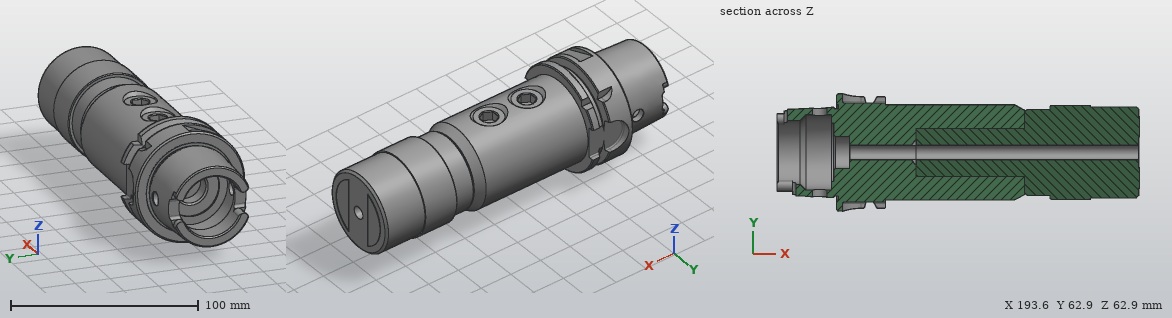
import cadquery as cq
import math


TAPER_TIP_R = 22.8
TAPER_BASE_R = 24.2
TAPER_END_X = 30.2
TIP_CHAMFER = 0.8
RELIEF_R = 23.5
RELIEF_START_X = 30.8
FACE_RECESS_R = 25.4
FACE_RECESS_DEPTH = 1.0
CLAMP_BORE_D = 34.0
CLAMP_BORE_END_X = 12.4
CLAMP_GROOVE_D = 40.0
CLAMP_GROOVE_START_X = 15.5
CLAMP_GROOVE_END_X = 29.0
FLOOR_RECESS_D = 31.0
FLOOR_RECESS_END_X = 30.2
COOLANT_POCKET_D = 17.0
COOLANT_POCKET_CHAMFER = 1.0
COOLANT_POCKET_END_X = 38.7
COOLANT_HOLE_D = 7.5
COOLANT_HOLE_CHAMFER = 0.4

WALL_MID_R = (TAPER_TIP_R + CLAMP_BORE_D / 2) / 2
WALL_END_R = (TAPER_TIP_R - CLAMP_BORE_D / 2) / 2
TIP_SLOT_WIDTH = 12.0
FRONT_TIP_SLOT_DEPTH = 10.0
BACK_TIP_SLOT_DEPTH = 5.6
TIP_SLOT_CORNER_R = 1.7

CROSS_HOLE_D = 7.5
CROSS_HOLE_CHAMFER = 0.4
CROSS_HOLE_X = 22.8

FLANGE_R = 31.46
FLANGE_FACE_X = 31.8
FLANGE_END_X = 58.0
FLANGE_CHAMFER = 1.0
FLANGE_END_CHAMFER = 0.5
GROOVE_R = 27.5
GROOVE_STEP_X = 48.0
GROOVE_STEP_R = 26.7
GROOVE_START_X = 46.3
GROOVE_EDGE_CHAMFER = 0.5
GROOVE_FLOOR_START_X = 49.0
GROOVE_FLOOR_END_X = 51.1
GROOVE_END_X = 53.5

KEYWAY_WIDTH = 19.7
KEYWAY_CENTER_X = 45.0
KEYWAY_FLOOR_Y = 26.5
KEYWAY_FLOOR_FILLET = 0.8
KEYWAY_OVERRUN = 2.0
NOTCH_WIDTH = 15.9
NOTCH_FLOOR_Y = 20.0
NOTCH_CENTER_Z = 28.0

FLAT_START_X = 35.0
FLAT_LENGTH = 8.3
FLAT_TILT = 21.5
FLAT_WIDTH = 23.0

BODY_R = 25.5
NOSE_START_X = 126.8
NOSE_END_X = 132.5
NOSE_END_R = 22.5

SHANK_D = 25.4
SHANK_LENGTH = 58.0
SHOULDER_CHAMFER = 1.2
NECK_R = 23.0
COLLAR_R = 25.2
COLLAR_START_X = 145.8
COLLAR_END_X = 167.3
COLLAR_CHAMFER = 0.5
HEAD_R = 24.4
HEAD_END_X = 193.2
HEAD_CHAMFER = 1.4
OVERALL_LENGTH = 193.6
LUG_CIRCLE_R = 19.2
LUG_GAP = 16.3

SCREW_D = 17.0
SCREW_TOP_Z = 23.5
SCREW_X = (79.5, 105.1)
SOCKET_D = 10.5
SOCKET_DEPTH = 5.8
SOCKET_TURN = 30
SOCKET_MOUTH_D = 10.6
SOCKET_CHAMFER = 0.5

SHANK_BACK_X = NOSE_END_X - SHANK_LENGTH


def x_cylinder(radius, start_x, end_x):
    """Cylinder about the X axis."""
    return cq.Workplane("YZ", origin=(start_x, 0, 0)).circle(radius).extrude(end_x - start_x)


def revolved(points):
    """Solid of revolution about X from (x, radius) points."""
    return cq.Workplane("XY").polyline(points).close().revolve(360, (0, 0, 0), (1, 0, 0))


def revolve_about_y(points, side):
    """Solid of revolution about Y from (radius, y) points, on one side of the X axis."""
    profile = [(radius, side * y) for radius, y in points]
    return cq.Workplane("XY").polyline(profile).close().revolve(360, (0, 0, 0), (0, 1, 0))


def holder_blank():
    """Outer shape of the holder: hollow taper, grooved flange, body and nose."""
    rim = FLANGE_R - FLANGE_CHAMFER
    return revolved([
        (0, 0),
        (0, TAPER_TIP_R - TIP_CHAMFER),
        (TIP_CHAMFER, TAPER_TIP_R),
        (TAPER_END_X, TAPER_BASE_R),
        (RELIEF_START_X, RELIEF_R),
        (FLANGE_FACE_X + FACE_RECESS_DEPTH, RELIEF_R),
        (FLANGE_FACE_X + FACE_RECESS_DEPTH, FACE_RECESS_R),
        (FLANGE_FACE_X, FACE_RECESS_R),
        (FLANGE_FACE_X, rim),
        (FLANGE_FACE_X + FLANGE_CHAMFER, FLANGE_R),
        (GROOVE_START_X, FLANGE_R),
        (GROOVE_START_X + GROOVE_EDGE_CHAMFER, FLANGE_R - GROOVE_EDGE_CHAMFER),
        (GROOVE_STEP_X, GROOVE_STEP_R),
        (GROOVE_FLOOR_START_X, GROOVE_R),
        (GROOVE_FLOOR_END_X, GROOVE_R),
        (GROOVE_END_X, FLANGE_R),
        (FLANGE_END_X - FLANGE_END_CHAMFER, FLANGE_R),
        (FLANGE_END_X, FLANGE_R - FLANGE_END_CHAMFER),
        (FLANGE_END_X, BODY_R),
        (NOSE_START_X, BODY_R),
        (NOSE_END_X, NOSE_END_R),
        (NOSE_END_X, 0),
    ])


def holder_bore():
    """Clamping bore, coolant passage and the bore for the tool shank."""
    clamp_r = CLAMP_BORE_D / 2
    groove_r = CLAMP_GROOVE_D / 2
    recess_r = FLOOR_RECESS_D / 2
    pocket_r = COOLANT_POCKET_D / 2
    hole_r = COOLANT_HOLE_D / 2
    shank_r = SHANK_D / 2
    return revolved([
        (0, 0),
        (0, clamp_r + TIP_CHAMFER),
        (TIP_CHAMFER, clamp_r),
        (CLAMP_BORE_END_X, clamp_r),
        (CLAMP_GROOVE_START_X, groove_r),
        (CLAMP_GROOVE_END_X, groove_r),
        (CLAMP_GROOVE_END_X, recess_r),
        (FLOOR_RECESS_END_X, recess_r),
        (FLOOR_RECESS_END_X, pocket_r + COOLANT_POCKET_CHAMFER),
        (FLOOR_RECESS_END_X + COOLANT_POCKET_CHAMFER, pocket_r),
        (COOLANT_POCKET_END_X, pocket_r),
        (COOLANT_POCKET_END_X, hole_r + COOLANT_HOLE_CHAMFER),
        (COOLANT_POCKET_END_X + COOLANT_HOLE_CHAMFER, hole_r),
        (SHANK_BACK_X, hole_r),
        (SHANK_BACK_X, shank_r),
        (NOSE_END_X, shank_r),
        (NOSE_END_X, 0),
    ])


def tip_slot(depth, side):
    """Slot through the taper wall at the tip (side = -1 or +1 along Y)."""
    reach = 2 * TAPER_BASE_R
    channel = cq.Workplane("XY").box(2 * depth, reach, TIP_SLOT_WIDTH)
    channel = channel.edges(">X and |Y").fillet(TIP_SLOT_CORNER_R)
    channel = channel.translate((0, side * reach / 2, 0))

    round_z = TIP_SLOT_WIDTH / 2 + WALL_END_R
    round_y = math.sqrt(WALL_MID_R ** 2 - round_z ** 2)
    flare_z = round_z * reach / round_y
    flare = (
        cq.Workplane("YZ")
        .polyline([(0, 0), (side * reach, flare_z), (side * reach, -flare_z)])
        .close()
        .extrude(depth - TIP_SLOT_CORNER_R)
    )
    for z in (-round_z, round_z):
        flare = flare.cut(x_cylinder(WALL_END_R, 0, depth).translate((0, side * round_y, z)))
    return channel.union(flare)


def cross_hole(side):
    """Radial hole through one taper wall, chamfered at its outer rim."""
    radius = CROSS_HOLE_D / 2
    wall_r = TAPER_TIP_R + (TAPER_BASE_R - TAPER_TIP_R) * CROSS_HOLE_X / TAPER_END_X
    return revolve_about_y([
        (0, 0),
        (radius, 0),
        (radius, wall_r - CROSS_HOLE_CHAMFER),
        (radius + CROSS_HOLE_CHAMFER, wall_r),
        (radius + CROSS_HOLE_CHAMFER, FLANGE_R),
        (0, FLANGE_R),
    ], side).translate((CROSS_HOLE_X, 0, 0))


def keyway(width, floor_y):
    """Cutter for a round-ended slot on the +Y side, open toward the holder body."""
    straight = FLANGE_END_X + KEYWAY_OVERRUN - KEYWAY_CENTER_X
    cut_height = FLANGE_R - floor_y
    plane = cq.Workplane("XZ", origin=(KEYWAY_CENTER_X, floor_y, 0))
    round_end = plane.circle(width / 2).extrude(-cut_height)
    run = plane.center(straight / 2, 0).rect(straight, width).extrude(-cut_height)
    return round_end.union(run)


def rim_flat():
    """Tilted flat recess across the flange rim."""
    flat_height = math.sqrt(FLANGE_R ** 2 - (FLAT_WIDTH / 2) ** 2)
    cutter = cq.Workplane("XY").box(FLAT_LENGTH, FLAT_WIDTH, FLANGE_R, centered=(False, True, False))
    return cutter.translate((FLAT_START_X, 0, flat_height)).rotate((0, 0, 0), (1, 0, 0), FLAT_TILT)


def screw_hole(x):
    """Radial hole for a clamping screw, with a 45 degree countersink above the screw."""
    radius = SCREW_D / 2
    sink_height = BODY_R - SCREW_TOP_Z
    hole = cq.Workplane("XY", origin=(x, 0, 0)).circle(radius).extrude(SCREW_TOP_Z)
    sink = cq.Solid.makeCone(radius, radius + sink_height, sink_height, pnt=cq.Vector(x, 0, SCREW_TOP_Z))
    return hole.union(cq.Workplane(obj=sink))


def make_holder():
    holder = holder_blank().cut(holder_bore())
    for side, depth in ((-1, FRONT_TIP_SLOT_DEPTH), (1, BACK_TIP_SLOT_DEPTH)):
        holder = holder.cut(tip_slot(depth, side)).cut(cross_hole(side))

    drive_keyway = keyway(KEYWAY_WIDTH, KEYWAY_FLOOR_Y).faces("<Y").edges().fillet(KEYWAY_FLOOR_FILLET)
    holder = holder.cut(drive_keyway).cut(drive_keyway.mirror("XZ"))
    holder = holder.cut(keyway(NOTCH_WIDTH, NOTCH_FLOOR_Y).translate((0, 0, NOTCH_CENTER_Z)))
    holder = holder.cut(rim_flat())

    for x in SCREW_X:
        holder = holder.cut(screw_hole(x))
    return holder


def make_tool():
    """Tool body: shank, neck, collar and head, with two drive lugs on its end face."""
    shank_r = SHANK_D / 2
    blank = revolved([
        (SHANK_BACK_X, 0),
        (SHANK_BACK_X, shank_r),
        (NOSE_END_X, shank_r),
        (NOSE_END_X, NECK_R - SHOULDER_CHAMFER),
        (NOSE_END_X + SHOULDER_CHAMFER, NECK_R),
        (COLLAR_START_X, NECK_R),
        (COLLAR_START_X, COLLAR_R - COLLAR_CHAMFER),
        (COLLAR_START_X + COLLAR_CHAMFER, COLLAR_R),
        (COLLAR_END_X, COLLAR_R),
        (COLLAR_END_X, HEAD_R),
        (HEAD_END_X - HEAD_CHAMFER, HEAD_R),
        (HEAD_END_X, HEAD_R - HEAD_CHAMFER),
        (HEAD_END_X, 0),
    ])
    lugs = x_cylinder(LUG_CIRCLE_R, HEAD_END_X, OVERALL_LENGTH)
    gap = cq.Workplane("XY").box(2 * (OVERALL_LENGTH - HEAD_END_X), LUG_GAP, 2 * LUG_CIRCLE_R)
    lugs = lugs.cut(gap.translate((OVERALL_LENGTH, 0, 0)))
    tool = blank.union(lugs)
    return tool.cut(x_cylinder(COOLANT_HOLE_D / 2, SHANK_BACK_X, OVERALL_LENGTH))


def make_screw(x):
    """Clamping screw resting on the tool shank, with a hexagon socket."""
    bottom_z = SHANK_D / 2
    screw = cq.Workplane("XY", origin=(x, 0, bottom_z)).circle(SCREW_D / 2).extrude(SCREW_TOP_Z - bottom_z)
    socket = cq.Workplane("XY").polygon(6, SOCKET_D).extrude(-SOCKET_DEPTH)
    socket = socket.rotate((0, 0, 0), (0, 0, 1), SOCKET_TURN)
    mouth_r = SOCKET_MOUTH_D / 2
    mouth = cq.Solid.makeCone(
        mouth_r - SOCKET_CHAMFER, mouth_r, SOCKET_CHAMFER, pnt=cq.Vector(0, 0, -SOCKET_CHAMFER)
    )
    socket = socket.union(cq.Workplane(obj=mouth))
    return screw.cut(socket.translate((x, 0, SCREW_TOP_Z)))


holder = make_holder()
tool = make_tool()
screws = [make_screw(x) for x in SCREW_X]

result = cq.Compound.makeCompound([holder.val(), tool.val(), *[screw.val() for screw in screws]])